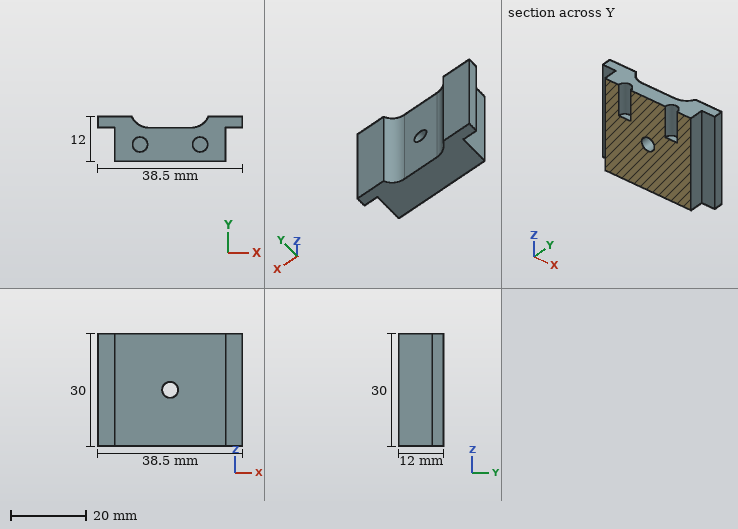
import cadquery as cq
import math

width = 38.5
depth = 12.0
height = 30.0

flange_thickness = 3.0
body_width = 29.55

trough_width = 20.45
trough_depth = 3.0
trough_radius = 5.0

cross_hole_diameter = 4.2
end_hole_diameter = 4.0
end_hole_spacing = 16.0
end_hole_from_front = 4.5
end_hole_depth = 10.0

half_width = width / 2
half_body = body_width / 2
half_trough = trough_width / 2
shoulder_y = depth - flange_thickness
floor_y = depth - trough_depth

arc_center_y = floor_y + trough_radius
arc_run = math.sqrt(trough_radius**2 - (trough_radius - trough_depth) ** 2)
half_floor = half_trough - arc_run
half_sweep = math.asin(arc_run / trough_radius) / 2
arc_mid_x = half_floor + trough_radius * math.sin(half_sweep)
arc_mid_y = arc_center_y - trough_radius * math.cos(half_sweep)


def make_block():
    """Extrude the flanged, troughed profile along Z."""
    return (
        cq.Workplane("XY")
        .moveTo(-half_body, 0)
        .lineTo(half_body, 0)
        .lineTo(half_body, shoulder_y)
        .lineTo(half_width, shoulder_y)
        .lineTo(half_width, depth)
        .lineTo(half_trough, depth)
        .threePointArc((arc_mid_x, arc_mid_y), (half_floor, floor_y))
        .lineTo(-half_floor, floor_y)
        .threePointArc((-arc_mid_x, arc_mid_y), (-half_trough, depth))
        .lineTo(-half_width, depth)
        .lineTo(-half_width, shoulder_y)
        .lineTo(-half_body, shoulder_y)
        .close()
        .extrude(height)
    )


def make_cross_hole():
    """Central through hole along Y."""
    return (
        cq.Workplane("XZ", origin=(0, depth, height / 2))
        .circle(cross_hole_diameter / 2)
        .extrude(depth)
    )


def make_end_holes():
    """Pair of blind holes going down from the top face."""
    return (
        cq.Workplane("XY", origin=(0, end_hole_from_front, height))
        .pushPoints([(side * end_hole_spacing / 2, 0) for side in (-1, 1)])
        .circle(end_hole_diameter / 2)
        .extrude(-end_hole_depth)
    )


result = make_block().cut(make_cross_hole()).cut(make_end_holes())